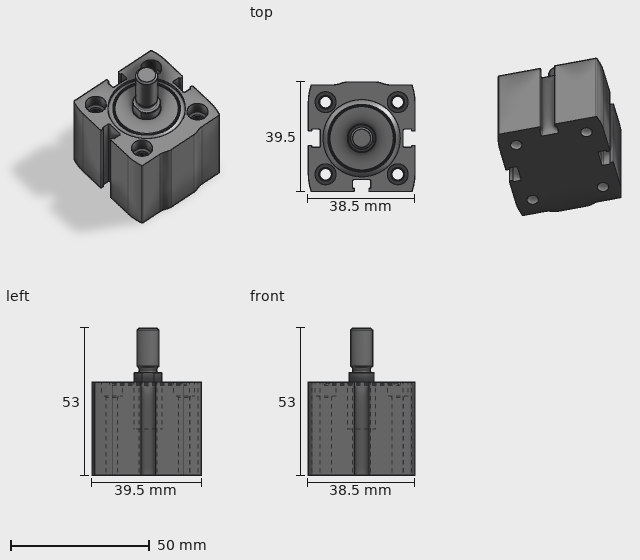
import cadquery as cq
import math

HALF_WIDTH = 19.25
BUMP_REACH = 20.25
HOUSING_HEIGHT = 33.55
SIDE_FLAT_HALF = 12.7
SIDE_CURVE_RADIUS = 20.0
CORNER_FILLET = 0.5
BUMP_TOP_HALF = 5.2
BUMP_FOOT_HALF = 9.85

SLOT_DEPTH = 4.35
SLOT_HALF = 3.25
SLOT_CORNER_FILLET = 0.5
LIP_DEPTH = 1.3
MOUTH_HALF = 2.6
LIP_FILLET = 0.35

HOLE_OFFSET = 13.0
HOLE_DIAMETER = 4.15
HOLE_CHAMFER = 0.4
COUNTERBORE_DIAMETER = 7.5
COUNTERBORE_DEPTH = 5.0

RECESS_RADIUS = 27.8 / 2
RECESS_DEPTH = 1.15
END_FACE_DEPTH = 0.2
RIM_CREST_RADIUS = 12.2
RIM_CHAMFER = 0.15
CAP_RADIUS = 11.7
CAP_CHAMFER = 0.3
GROOVE_DEPTH = 0.65
ROD_HOLE_CHAMFER = 0.15

TOTAL_HEIGHT = 53.0
ROD_RADIUS = 10.0 / 2
ROD_INSERTION = 16.75
FLAT_HALF = 4.5
FLAT_BOTTOM_DEPTH = 1.0
FLAT_RUNOUT_ANGLE = 30
COLLAR_TOP = 37.0
COLLAR_CHAMFER = 0.15
THREAD_RADIUS = 8.0 / 2
THREAD_BOTTOM = 39.4
TIP_CHAMFER = 0.75
NECK_RADIUS = 6.4 / 2
NECK_FILLET = 0.6
RELIEF_RADIUS = 0.8
CONE_ANGLE = 45

END_FACE_Z = HOUSING_HEIGHT - END_FACE_DEPTH
ROD_BOTTOM = HOUSING_HEIGHT - ROD_INSERTION


def side_wall_x(y):
    """Distance from the rod axis to the curved end of a side wall, tangent to its flat middle."""
    along_curve = y - SIDE_FLAT_HALF
    return HALF_WIDTH - SIDE_CURVE_RADIUS + math.sqrt(SIDE_CURVE_RADIUS**2 - along_curve**2)


def make_block():
    """Extruded housing block whose side walls curve inwards at the rounded corners."""
    mid_y = (SIDE_FLAT_HALF + HALF_WIDTH) / 2
    mid_x = side_wall_x(mid_y)
    corner_x = side_wall_x(HALF_WIDTH)
    block = (
        cq.Workplane("XY")
        .moveTo(-corner_x, -HALF_WIDTH)
        .lineTo(corner_x, -HALF_WIDTH)
        .threePointArc((mid_x, -mid_y), (HALF_WIDTH, -SIDE_FLAT_HALF))
        .lineTo(HALF_WIDTH, SIDE_FLAT_HALF)
        .threePointArc((mid_x, mid_y), (corner_x, HALF_WIDTH))
        .lineTo(-corner_x, HALF_WIDTH)
        .threePointArc((-mid_x, mid_y), (-HALF_WIDTH, SIDE_FLAT_HALF))
        .lineTo(-HALF_WIDTH, -SIDE_FLAT_HALF)
        .threePointArc((-mid_x, -mid_y), (-corner_x, -HALF_WIDTH))
        .close()
        .extrude(HOUSING_HEIGHT)
    )
    for x in (-corner_x, corner_x):
        for y in (-HALF_WIDTH, HALF_WIDTH):
            corner_edge = cq.selectors.NearestToPointSelector((x, y, HOUSING_HEIGHT / 2))
            block = block.edges(corner_edge).fillet(CORNER_FILLET)
    return block


def make_bump():
    """Raised strip on the +Y wall, blended into it by S-shaped flanks."""
    return (
        cq.Workplane("XY")
        .moveTo(-BUMP_FOOT_HALF, HALF_WIDTH)
        .spline([(-BUMP_TOP_HALF, BUMP_REACH)], tangents=[(1, 0), (1, 0)], includeCurrent=True)
        .lineTo(BUMP_TOP_HALF, BUMP_REACH)
        .spline([(BUMP_FOOT_HALF, HALF_WIDTH)], tangents=[(1, 0), (1, 0)], includeCurrent=True)
        .lineTo(BUMP_FOOT_HALF, 0)
        .lineTo(-BUMP_FOOT_HALF, 0)
        .close()
        .extrude(HOUSING_HEIGHT)
    )


def make_slot(angle):
    """Cutter for one T-slot: drawn in the -Y wall, then turned about the rod axis."""
    lip_y = LIP_DEPTH - HALF_WIDTH
    chamber = (
        cq.Workplane("XY")
        .center(0, (lip_y + SLOT_DEPTH - HALF_WIDTH) / 2)
        .rect(2 * SLOT_HALF, SLOT_DEPTH - LIP_DEPTH)
        .extrude(HOUSING_HEIGHT)
        .edges("|Z and >Y")
        .fillet(SLOT_CORNER_FILLET)
    )
    flare = MOUTH_HALF + LIP_FILLET
    outer_arc_y = LIP_FILLET - HALF_WIDTH
    inner_arc_y = lip_y - LIP_FILLET
    inset = LIP_FILLET * (1 - math.sqrt(0.5))
    mouth = (
        cq.Workplane("XY")
        .moveTo(0, -HALF_WIDTH)
        .lineTo(flare, -HALF_WIDTH)
        .threePointArc((MOUTH_HALF + inset, inset - HALF_WIDTH), (MOUTH_HALF, outer_arc_y))
        .lineTo(MOUTH_HALF, inner_arc_y)
        .threePointArc((MOUTH_HALF + inset, lip_y - inset), (flare, lip_y))
        .lineTo(0, lip_y)
        .mirrorY()
        .extrude(HOUSING_HEIGHT)
    )
    return chamber.union(mouth).rotate((0, 0, 0), (0, 0, 1), angle)


def make_mounting_holes():
    """Cutters for the four counterbored through holes."""
    floor_z = HOUSING_HEIGHT - COUNTERBORE_DEPTH
    hole_radius = HOLE_DIAMETER / 2
    bore_radius = COUNTERBORE_DIAMETER / 2
    profile = [
        (0, 0),
        (hole_radius, 0),
        (hole_radius, floor_z - HOLE_CHAMFER),
        (hole_radius + HOLE_CHAMFER, floor_z),
        (bore_radius, floor_z),
        (bore_radius, HOUSING_HEIGHT),
        (0, HOUSING_HEIGHT),
    ]
    hole = cq.Workplane("XZ").polyline(profile).close().revolve(360, (0, 0), (0, 1)).val()
    return (
        cq.Workplane("XY")
        .rect(2 * HOLE_OFFSET, 2 * HOLE_OFFSET, forConstruction=True)
        .vertices()
        .eachpoint(lambda place: hole.moved(place), combine=False)
    )


def make_end_recess():
    """Cutter for the recess above the end face, the groove round the cap and the blind rod hole."""
    rim_bore = RIM_CREST_RADIUS - RIM_CHAMFER
    groove_z = END_FACE_Z - GROOVE_DEPTH
    profile = [
        (0, HOUSING_HEIGHT),
        (RECESS_RADIUS, HOUSING_HEIGHT),
        (RECESS_RADIUS, HOUSING_HEIGHT - RECESS_DEPTH),
        (RIM_CREST_RADIUS, END_FACE_Z),
        (rim_bore, END_FACE_Z - RIM_CHAMFER),
        (rim_bore, groove_z),
        (CAP_RADIUS, groove_z),
        (CAP_RADIUS, END_FACE_Z - CAP_CHAMFER),
        (CAP_RADIUS - CAP_CHAMFER, END_FACE_Z),
        (ROD_RADIUS + ROD_HOLE_CHAMFER, END_FACE_Z),
        (ROD_RADIUS, END_FACE_Z - ROD_HOLE_CHAMFER),
        (ROD_RADIUS, ROD_BOTTOM),
        (0, ROD_BOTTOM),
    ]
    return cq.Workplane("XZ").polyline(profile).close().revolve(360, (0, 0), (0, 1))


def make_housing():
    """Block with its T-slots, mounting holes and end recess."""
    housing = make_block().union(make_bump())
    for angle in (-90, 0, 90):
        housing = housing.cut(make_slot(angle))
    return housing.cut(make_mounting_holes()).cut(make_end_recess())


def make_rod():
    """Turned rod with a threaded end, an undercut neck and two wrench flats on its collar."""
    cone_turn = math.radians(CONE_ANGLE)
    relief_end_radius = NECK_RADIUS + RELIEF_RADIUS * (1 - math.cos(cone_turn))
    relief_end_z = THREAD_BOTTOM - (THREAD_RADIUS - relief_end_radius) / math.tan(cone_turn)
    neck_top = relief_end_z - RELIEF_RADIUS * math.sin(cone_turn)
    mid_angle = math.radians(CONE_ANGLE / 2)
    relief_mid = (
        NECK_RADIUS + RELIEF_RADIUS * (1 - math.cos(mid_angle)),
        neck_top + RELIEF_RADIUS * math.sin(mid_angle),
    )
    fillet_inset = NECK_FILLET * (1 - math.sqrt(0.5))
    rod = (
        cq.Workplane("XZ")
        .moveTo(0, ROD_BOTTOM)
        .lineTo(ROD_RADIUS, ROD_BOTTOM)
        .lineTo(ROD_RADIUS, COLLAR_TOP - COLLAR_CHAMFER)
        .lineTo(ROD_RADIUS - COLLAR_CHAMFER, COLLAR_TOP)
        .lineTo(NECK_RADIUS + NECK_FILLET, COLLAR_TOP)
        .threePointArc(
            (NECK_RADIUS + fillet_inset, COLLAR_TOP + fillet_inset),
            (NECK_RADIUS, COLLAR_TOP + NECK_FILLET),
        )
        .lineTo(NECK_RADIUS, neck_top)
        .threePointArc(relief_mid, (relief_end_radius, relief_end_z))
        .lineTo(THREAD_RADIUS, THREAD_BOTTOM)
        .lineTo(THREAD_RADIUS, TOTAL_HEIGHT - TIP_CHAMFER)
        .lineTo(THREAD_RADIUS - TIP_CHAMFER, TOTAL_HEIGHT)
        .lineTo(0, TOTAL_HEIGHT)
        .close()
        .revolve(360, (0, 0), (0, 1))
    )
    for side in (-1, 1):
        rod = rod.cut(make_flat_cutter(side))
    return rod


def make_flat_cutter(side):
    """Cutter for one wrench flat, which runs out on a slope inside the rod hole."""
    flat_bottom = HOUSING_HEIGHT - FLAT_BOTTOM_DEPTH
    runout_drop = (ROD_RADIUS - FLAT_HALF) * math.tan(math.radians(FLAT_RUNOUT_ANGLE))
    profile = [
        (side * FLAT_HALF, COLLAR_TOP),
        (side * FLAT_HALF, flat_bottom),
        (side * ROD_RADIUS, flat_bottom - runout_drop),
        (side * ROD_RADIUS, COLLAR_TOP),
    ]
    return cq.Workplane("XZ").polyline(profile).close().extrude(ROD_RADIUS, both=True)


housing = make_housing()
rod = make_rod()
result = cq.Compound.makeCompound([housing.val(), rod.val()])